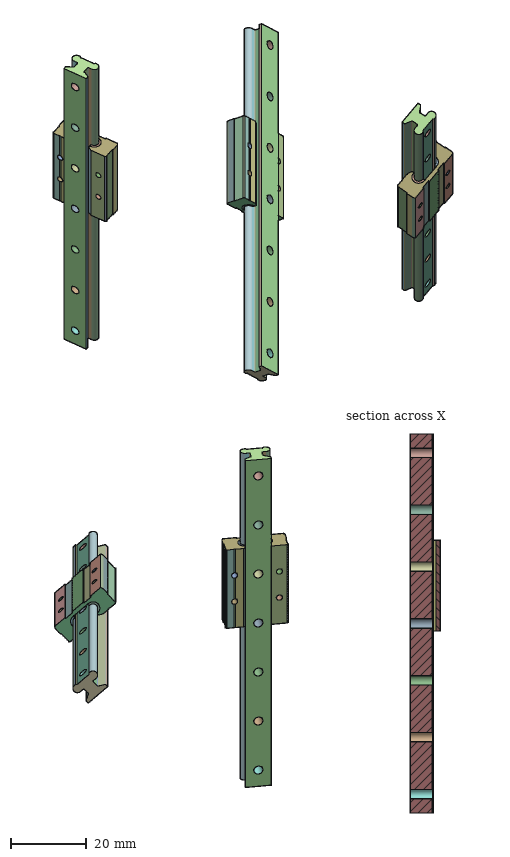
import cadquery as cq


rail_length = 100.0
base_half_width = 3.5
base_edge_height = 0.9
stem_half_width = 1.6
stem_foot_height = 1.9
rail_blend_radius = 0.2
head_center_height = 5.0
head_round_offset = 2.8
head_radius = 1.2
head_recess_half_width = 2.1
head_recess_depth = 0.3
rail_hole_diameter = 2.4
rail_hole_count = 7
rail_hole_pitch = 15.0

liner_thickness = 0.6
liner_end_offset = 2.5

carriage_length = 24.0
carriage_center_height = 60.0
carriage_half_width = 8.5
carriage_bottom = 2.0
carriage_top = 8.0
top_round_width = 0.3
top_round_height = 0.9
top_round_radius = 1.5
bottom_bevel_width = 0.5
bottom_bevel_height = 0.3
side_recess_depth = 0.2
side_recess_top = 5.3
side_recess_bottom = 2.5
top_groove_inner = 2.0
top_groove_outer = 4.5
top_groove_depth = 0.3
lip_half_opening = liner_end_offset
lip_edge_height = 2.6
lip_outer_offset = 3.7
mount_hole_diameter = 1.6
mount_hole_offset = 6.0
mount_hole_pitch = 8.0
mark_groove_width = 0.4
mark_groove_depth = 0.1

head_top = head_center_height + head_radius
head_bottom = head_center_height - head_radius
channel_radius = head_radius + liner_thickness
carriage_base = carriage_center_height - carriage_length / 2
first_rail_hole = (rail_length - (rail_hole_count - 1) * rail_hole_pitch) / 2


def round_bar(radius, base, length):
    """Bar along Z with an obround section centered on the rail head."""
    return (
        cq.Workplane("XY", origin=(0, head_center_height, base))
        .slot2D(2 * (head_round_offset + radius), 2 * radius)
        .extrude(length)
    )


def holes_along_y(points, diameter):
    """Cylinders along Y at the given (x, z) points, longer than the whole assembly is deep."""
    return cq.Workplane("XZ").pushPoints(points).circle(diameter / 2).extrude(carriage_top, both=True)


def mirrored(right_half):
    """Closed outline from right-half points, listed from the bottom up."""
    left_half = [(-x, y) for x, y in reversed(right_half)]
    return cq.Workplane("XY").polyline(right_half + left_half).close()


def make_rail():
    foot = mirrored([
        (base_half_width, 0),
        (base_half_width, base_edge_height),
        (stem_half_width, stem_foot_height),
        (stem_half_width, head_bottom),
        (head_round_offset, head_bottom),
        (head_round_offset, head_center_height),
    ]).extrude(rail_length)
    for x, y in (
        (base_half_width, base_edge_height),
        (stem_half_width, stem_foot_height),
        (stem_half_width, head_bottom),
    ):
        for side in (-1, 1):
            edge = cq.selectors.NearestToPointSelector((side * x, y, rail_length / 2))
            foot = foot.edges("|Z").edges(edge).fillet(rail_blend_radius)
    recess = mirrored([
        (head_recess_half_width, head_top - head_recess_depth),
        (head_recess_half_width + head_recess_depth, head_top),
    ]).extrude(rail_length)
    hole_points = [(0, first_rail_hole + i * rail_hole_pitch) for i in range(rail_hole_count)]
    rail = foot.union(round_bar(head_radius, 0, rail_length)).cut(recess)
    return rail.cut(holes_along_y(hole_points, rail_hole_diameter))


def make_liner(side):
    """C-shaped strip around one rounded edge of the rail head; side is +1 for +X, -1 for -X."""
    ring = round_bar(channel_radius, carriage_base, carriage_length).cut(
        round_bar(head_radius, carriage_base, carriage_length)
    )
    reach = head_round_offset + channel_radius - liner_end_offset
    keep = (
        cq.Workplane("XY", origin=(side * (liner_end_offset + reach / 2), head_center_height, carriage_base))
        .rect(reach, 2 * channel_radius)
        .extrude(carriage_length)
    )
    return ring.intersect(keep)


def make_carriage():
    recess_x = carriage_half_width - side_recess_depth
    groove_floor = carriage_top - top_groove_depth
    block = (
        cq.Workplane("XY")
        .moveTo(0, carriage_bottom)
        .lineTo(carriage_half_width - bottom_bevel_width, carriage_bottom)
        .lineTo(carriage_half_width, carriage_bottom + bottom_bevel_height)
        .lineTo(recess_x, side_recess_bottom)
        .lineTo(recess_x, side_recess_top)
        .lineTo(carriage_half_width, side_recess_top)
        .lineTo(carriage_half_width, carriage_top - top_round_height)
        .radiusArc((carriage_half_width - top_round_width, carriage_top), -top_round_radius)
        .lineTo(top_groove_outer, carriage_top)
        .lineTo(top_groove_outer, groove_floor)
        .lineTo(top_groove_inner, groove_floor)
        .lineTo(top_groove_inner, carriage_top)
        .lineTo(0, carriage_top)
        .mirrorY()
        .extrude(carriage_length)
    )
    opening = mirrored([
        (lip_outer_offset, carriage_bottom),
        (lip_half_opening, lip_edge_height),
        (lip_half_opening, head_center_height),
    ]).extrude(carriage_length)
    mark_groove = (
        cq.Workplane("XY", origin=(-mount_hole_offset, carriage_bottom, 0))
        .rect(mark_groove_width, 2 * mark_groove_depth)
        .extrude(carriage_length)
    )
    mount_points = [
        (x, carriage_center_height + dz)
        for x in (-mount_hole_offset, mount_hole_offset)
        for dz in (-mount_hole_pitch / 2, mount_hole_pitch / 2)
    ]
    carriage = block.cut(opening).cut(mark_groove).translate((0, 0, carriage_base))
    carriage = carriage.cut(round_bar(channel_radius, carriage_base, carriage_length))
    return carriage.cut(holes_along_y(mount_points, mount_hole_diameter))


rail = make_rail()
carriage = make_carriage()
liners = [make_liner(side) for side in (-1, 1)]

result = cq.Compound.makeCompound([rail.val(), carriage.val(), *[liner.val() for liner in liners]])